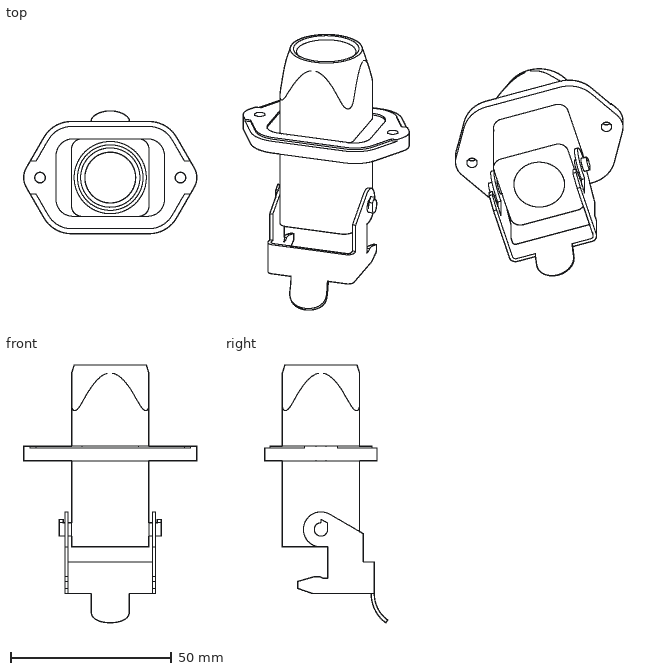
import cadquery as cq
import math

HOOD_WIDTH = 24.2
HOOD_CORNER_RADIUS = 3.2
HOOD_HEIGHT = 56.9

NECK_TOP_RADIUS = 11.3
NECK_CORNER_Z = 42.55

BORE_RADIUS = 7.9
ENTRY_RADIUS = 9.3
ENTRY_DEPTH = 12.25
ENTRY_MOUTH_RADIUS = 10.2

FLANGE_BOTTOM_Z = 26.9
FLANGE_TOP_Z = 31.5
FLANGE_HALF_LENGTH = 27.1
FLANGE_HALF_WIDTH = 17.6
FLANGE_CORNER_RADIUS = 10.0
FLANGE_CORNER_X = 12.1
FLANGE_SIDE_ANGLE = 60.0
RIM_WIDTH = 1.6
STEP_DEPTH = 0.6
EAR_WIDTH = 10.2
SCREW_HOLE_SPACING = 43.85
SCREW_HOLE_RADIUS = 1.6
POCKET_LENGTH = 33.85
POCKET_CORNER_RADIUS = 5.2

SHEET = 1.05
LEVER_HALF_WIDTH = 14.2
LEVER_BEND_RADIUS = 2.0
LEVER_BACK_Y = 16.7
LEVER_BACK_TOP_Z = -4.7
LEVER_BOTTOM_Z = -14.6
EYE_RADIUS = 5.5
SHOULDER_Y = 13.2
SHOULDER_ANGLE = 30.0
ARM_FRONT_Y = 2.1
HOOK_FLAT_Y = 0.7
HOOK_FLAT_Z = -9.75
HOOK_CREST_Z = -9.3
HOOK_CREST_REAR_Y = -0.3
HOOK_CREST_FRONT_Y = -2.2
HOOK_TIP_Y = -7.25
HOOK_TIP_TOP_Z = -10.7
HOOK_TIP_BOTTOM_Z = -13.0
HOOK_HEEL_Y = -2.6

TONGUE_WIDTH = 12.0
TONGUE_RADIUS = 11.3
TONGUE_TIP_Z = HOOD_HEIGHT - 80.6
TONGUE_END_LENGTH = 4.7

PIN_RADIUS = 2.1
PIN_END_X = 15.95
LUG_THICKNESS = 1.3
LUG_SHOULDER = 2.0
LUG_HEIGHT = 3.15


def cone_trim():
    """Cone that cuts the hood corners back to a round neck."""
    corner_centre = HOOD_WIDTH / 2 - HOOD_CORNER_RADIUS
    corner_reach = math.hypot(corner_centre, corner_centre) + HOOD_CORNER_RADIUS
    slope = (corner_reach - NECK_TOP_RADIUS) / (HOOD_HEIGHT - NECK_CORNER_Z)
    base_radius = NECK_TOP_RADIUS + slope * HOOD_HEIGHT
    profile = [(0, 0), (base_radius, 0), (NECK_TOP_RADIUS, HOOD_HEIGHT), (0, HOOD_HEIGHT)]
    return cq.Workplane("XZ").polyline(profile).close().revolve(360, (0, 0), (0, 1))


def hood():
    tube = (
        cq.Workplane("XY")
        .rect(HOOD_WIDTH, HOOD_WIDTH)
        .extrude(HOOD_HEIGHT)
        .edges("|Z")
        .fillet(HOOD_CORNER_RADIUS)
    )
    return tube.intersect(cone_trim())


def cable_entry():
    """Through bore with a wider seat at the top and a chamfered mouth."""
    shelf_z = HOOD_HEIGHT - ENTRY_DEPTH
    mouth_z = HOOD_HEIGHT - (ENTRY_MOUTH_RADIUS - ENTRY_RADIUS)
    profile = [
        (0, 0),
        (BORE_RADIUS, 0),
        (BORE_RADIUS, shelf_z),
        (ENTRY_RADIUS, shelf_z),
        (ENTRY_RADIUS, mouth_z),
        (ENTRY_MOUTH_RADIUS, HOOD_HEIGHT),
        (0, HOOD_HEIGHT),
    ]
    return cq.Workplane("XZ").polyline(profile).close().revolve(360, (0, 0), (0, 1))


def flange_outline(plane):
    """Long hexagon with tangent corner arcs and a round nose at each end."""
    corner_y = FLANGE_HALF_WIDTH - FLANGE_CORNER_RADIUS
    normal = math.radians(90 - FLANGE_SIDE_ANGLE)
    nx = math.cos(normal)
    ny = math.sin(normal)
    side_distance = FLANGE_CORNER_X * nx + corner_y * ny + FLANGE_CORNER_RADIUS
    nose_radius = (side_distance - FLANGE_HALF_LENGTH * nx) / (1 - nx)
    nose_x = FLANGE_HALF_LENGTH - nose_radius

    nose_end = (nose_x + nose_radius * nx, nose_radius * ny)
    corner_start = (FLANGE_CORNER_X + FLANGE_CORNER_RADIUS * nx, corner_y + FLANGE_CORNER_RADIUS * ny)
    middle = (normal + math.pi / 2) / 2
    corner_middle = (
        FLANGE_CORNER_X + FLANGE_CORNER_RADIUS * math.cos(middle),
        corner_y + FLANGE_CORNER_RADIUS * math.sin(middle),
    )
    corner_end = (FLANGE_CORNER_X, FLANGE_HALF_WIDTH)

    def mirrored(point, sign_x, sign_y):
        return (sign_x * point[0], sign_y * point[1])

    return (
        plane.moveTo(*mirrored(nose_end, 1, -1))
        .threePointArc((FLANGE_HALF_LENGTH, 0), nose_end)
        .lineTo(*corner_start)
        .threePointArc(corner_middle, corner_end)
        .lineTo(*mirrored(corner_end, -1, 1))
        .threePointArc(mirrored(corner_middle, -1, 1), mirrored(corner_start, -1, 1))
        .lineTo(*mirrored(nose_end, -1, 1))
        .threePointArc((-FLANGE_HALF_LENGTH, 0), mirrored(nose_end, -1, -1))
        .lineTo(*mirrored(corner_start, -1, -1))
        .threePointArc(mirrored(corner_middle, -1, -1), mirrored(corner_end, -1, -1))
        .lineTo(*mirrored(corner_end, 1, -1))
        .threePointArc(mirrored(corner_middle, 1, -1), mirrored(corner_start, 1, -1))
        .close()
    )


def flange():
    """Plate with a lowered rim, full-height screw ears and a shallow pocket."""
    step_z = FLANGE_TOP_Z - STEP_DEPTH
    thickness = FLANGE_TOP_Z - FLANGE_BOTTOM_Z
    bottom_plane = cq.Workplane("XY", origin=(0, 0, FLANGE_BOTTOM_Z))
    plate = flange_outline(bottom_plane).extrude(thickness)

    step_plane = cq.Workplane("XY", origin=(0, 0, step_z))
    outer = flange_outline(step_plane).extrude(STEP_DEPTH)
    inner = flange_outline(step_plane).offset2D(-RIM_WIDTH).extrude(STEP_DEPTH)
    ears = step_plane.rect(2 * FLANGE_HALF_LENGTH, EAR_WIDTH).extrude(STEP_DEPTH)
    rim = outer.cut(inner).cut(ears)

    pocket = (
        step_plane.rect(POCKET_LENGTH, HOOD_WIDTH)
        .extrude(STEP_DEPTH)
        .edges("|Z")
        .fillet(POCKET_CORNER_RADIUS)
    )
    screw_holes = (
        bottom_plane.rarray(SCREW_HOLE_SPACING, 0.8, 2, 1)
        .circle(SCREW_HOLE_RADIUS)
        .extrude(thickness)
    )
    return plate.cut(rim).cut(pocket).cut(screw_holes)


def lever_plan():
    """U-shaped channel, open toward -Y, that holds the sheet of the lever."""
    height = 2 * EYE_RADIUS - LEVER_BOTTOM_Z

    def block(inset):
        back_y = LEVER_BACK_Y - inset
        front_y = HOOK_TIP_Y - inset
        return (
            cq.Workplane("XY", origin=(0, (front_y + back_y) / 2, LEVER_BOTTOM_Z))
            .rect(2 * (LEVER_HALF_WIDTH - inset), back_y - front_y)
            .extrude(height)
            .edges("|Z and >Y")
            .fillet(LEVER_BEND_RADIUS - inset)
        )

    return block(0).cut(block(SHEET))


def lever():
    """Side outline of the lever swept across X and kept only where there is sheet."""
    slope = math.radians(SHOULDER_ANGLE)
    tangent_y = EYE_RADIUS * math.sin(slope)
    tangent_z = EYE_RADIUS + EYE_RADIUS * math.cos(slope)
    shoulder_z = tangent_z - (SHOULDER_Y - tangent_y) * math.tan(slope)
    outline = (
        cq.Workplane("YZ", origin=(-LEVER_HALF_WIDTH, 0, 0))
        .moveTo(0, 0)
        .threePointArc((-EYE_RADIUS, EYE_RADIUS), (tangent_y, tangent_z))
        .lineTo(SHOULDER_Y, shoulder_z)
        .lineTo(SHOULDER_Y, LEVER_BACK_TOP_Z)
        .lineTo(LEVER_BACK_Y, LEVER_BACK_TOP_Z)
        .lineTo(LEVER_BACK_Y, LEVER_BOTTOM_Z)
        .lineTo(HOOK_HEEL_Y, LEVER_BOTTOM_Z)
        .lineTo(HOOK_TIP_Y, HOOK_TIP_BOTTOM_Z)
        .lineTo(HOOK_TIP_Y, HOOK_TIP_TOP_Z)
        .lineTo(HOOK_CREST_FRONT_Y, HOOK_CREST_Z)
        .lineTo(HOOK_CREST_REAR_Y, HOOK_CREST_Z)
        .lineTo(HOOK_FLAT_Y, HOOK_FLAT_Z)
        .lineTo(ARM_FRONT_Y, HOOK_FLAT_Z)
        .lineTo(ARM_FRONT_Y, 0)
        .close()
    )
    return outline.extrude(2 * LEVER_HALF_WIDTH).intersect(lever_plan())


def tongue():
    """Curved tab that leaves the back of the lever downward and flares toward +Y."""
    centre_y = LEVER_BACK_Y - SHEET + TONGUE_RADIUS
    sweep = math.asin((LEVER_BOTTOM_Z - TONGUE_TIP_Z) / TONGUE_RADIUS)

    def arc_point(radius, angle):
        return (centre_y - radius * math.cos(angle), LEVER_BOTTOM_Z - radius * math.sin(angle))

    concave_radius = TONGUE_RADIUS - SHEET
    strip = (
        cq.Workplane("YZ", origin=(-TONGUE_WIDTH / 2, 0, 0))
        .moveTo(*arc_point(TONGUE_RADIUS, 0))
        .threePointArc(arc_point(TONGUE_RADIUS, sweep / 2), arc_point(TONGUE_RADIUS, sweep))
        .lineTo(*arc_point(concave_radius, sweep))
        .threePointArc(arc_point(concave_radius, sweep / 2), arc_point(concave_radius, 0))
        .close()
        .extrude(TONGUE_WIDTH)
    )
    tip_y, tip_z = arc_point(TONGUE_RADIUS, sweep)
    tip_plane = cq.Plane(
        origin=(0, tip_y, tip_z),
        xDir=(1, 0, 0),
        normal=(0, -math.cos(sweep), -math.sin(sweep)),
    )
    half_width = TONGUE_WIDTH / 2
    rounded_blank = (
        cq.Workplane(tip_plane)
        .moveTo(half_width, TONGUE_END_LENGTH)
        .lineTo(half_width, TONGUE_RADIUS)
        .lineTo(-half_width, TONGUE_RADIUS)
        .lineTo(-half_width, TONGUE_END_LENGTH)
        .ellipseArc(half_width, TONGUE_END_LENGTH, 180, 360, startAtCurrent=True)
        .close()
        .extrude(TONGUE_RADIUS, both=True)
    )
    return strip.intersect(rounded_blank)


def pivot_pins():
    """Pin and lug on both sides of the hood."""
    pin_length = PIN_END_X - HOOD_WIDTH / 2
    pin = (
        cq.Workplane("YZ", origin=(HOOD_WIDTH / 2, 0, 0))
        .center(0, EYE_RADIUS)
        .circle(PIN_RADIUS)
        .extrude(pin_length)
    )
    lug = (
        cq.Workplane("YZ", origin=(PIN_END_X - LUG_THICKNESS, 0, 0))
        .center(0, EYE_RADIUS)
        .polyline([(0, 0), (PIN_RADIUS, 0), (PIN_RADIUS, LUG_SHOULDER), (0, LUG_HEIGHT)])
        .close()
        .extrude(LUG_THICKNESS)
    )
    one_side = pin.union(lug)
    return one_side.union(one_side.mirror("YZ"))


result = hood().union(flange()).cut(cable_entry())
result = result.union(lever()).union(tongue()).union(pivot_pins())